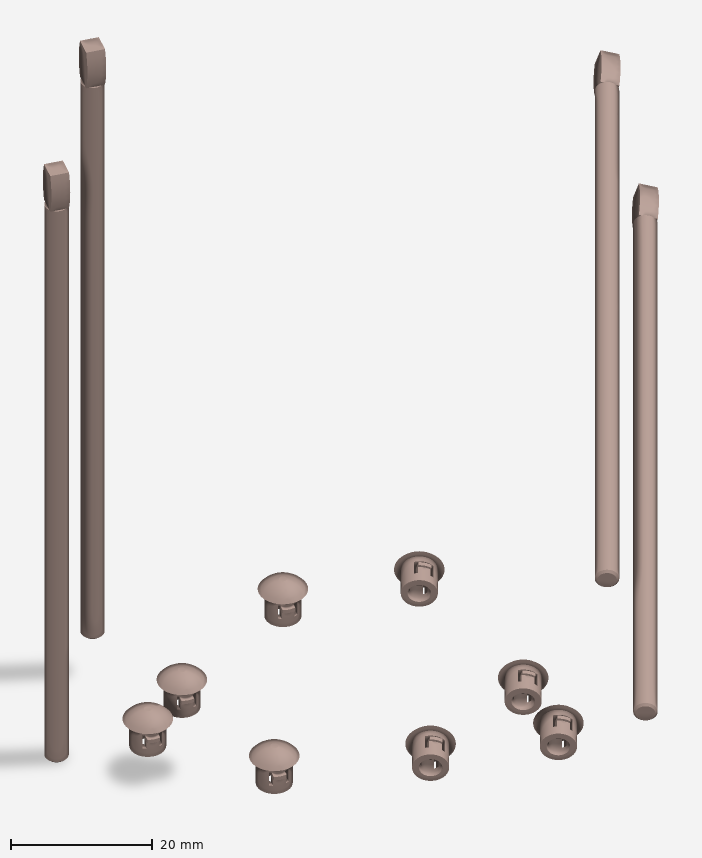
import cadquery as cq

rod_length = 104.9
rod_dia = 3.5
rod_end_chamfer = 0.3
grip_height = 6.3
grip_thickness = 2.8
grip_end_width = 2.9
grip_mid_width = 4.0
shank_length = rod_length - grip_height

sleeve_dia = 5.2
sleeve_bore = 3.3
sleeve_height = 4.8
cap_dia = 7.1
cap_height = 1.8
cap_flat_dia = 1.1
window_width = 2.9
window_bottom = 1.5
window_top = 3.8
slot_width = 0.5
barb_bottom = 2.7
barb_reach = 0.3
tongue_width = window_width - 2 * slot_width
tongue_top = window_top - slot_width

rod_places = [
    (-28.1, -4.9, -49.2),
    (-10.5, -15.8, -55.7),
]
plug_places = [
    (0.7, 14.1, -29.4),
    (21.2, 6.3, -42.2),
    (19.2, -6.7, -27.0),
    (26.4, -14.0, -26.9),
]


def make_grip():
    """Block with flat front and back, and sides that bulge in an arc."""
    end = grip_end_width / 2
    middle = grip_mid_width / 2
    return (
        cq.Workplane("XZ", origin=(0, 0, shank_length))
        .moveTo(-end, 0)
        .lineTo(end, 0)
        .threePointArc((middle, grip_height / 2), (end, grip_height))
        .lineTo(-end, grip_height)
        .threePointArc((-middle, grip_height / 2), (-end, 0))
        .close()
        .extrude(grip_thickness / 2, both=True)
    )


def make_rod():
    shank = cq.Workplane("XY").circle(rod_dia / 2).extrude(shank_length)
    shank = shank.faces("<Z").chamfer(rod_end_chamfer)
    return shank.union(make_grip())


def make_cap():
    """Spherical dome with a small flat at its apex."""
    rim = cap_dia / 2
    flat = cap_flat_dia / 2
    centre = (cap_height**2 + flat**2 - rim**2) / (2 * cap_height)
    sphere_radius = (rim**2 + centre**2) ** 0.5
    mid_radius = (rim + flat) / 2
    mid_height = centre + (sphere_radius**2 - mid_radius**2) ** 0.5
    return (
        cq.Workplane("XZ", origin=(0, 0, sleeve_height))
        .lineTo(rim, 0)
        .threePointArc((mid_radius, mid_height), (flat, cap_height))
        .lineTo(0, cap_height)
        .close()
        .revolve(360, (0, 0), (0, 1))
    )


def side_bar(width, bottom, top):
    """Bar along X, longer than the sleeve is wide."""
    return cq.Workplane("XY", origin=(0, 0, bottom)).rect(cap_dia, width).extrude(top - bottom)


def ring(outer_radius, bottom, top):
    """Ring around the sleeve bore."""
    return (
        cq.Workplane("XY", origin=(0, 0, bottom))
        .circle(outer_radius)
        .circle(sleeve_bore / 2)
        .extrude(top - bottom)
    )


def make_plug():
    sleeve_radius = sleeve_dia / 2
    sleeve = ring(sleeve_radius, 0, sleeve_height)
    windows = side_bar(window_width, window_bottom, window_top)
    tongue_bar = side_bar(tongue_width, window_bottom, tongue_top)
    tongues = ring(sleeve_radius, window_bottom, tongue_top).intersect(tongue_bar)
    barbs = ring(sleeve_radius + barb_reach, barb_bottom, tongue_top).intersect(tongue_bar)
    return sleeve.cut(windows).union(tongues).union(barbs).union(make_cap())


rod = make_rod()
rods = [rod.translate(place) for place in rod_places]

plug = make_plug()
plugs = [plug.translate(place) for place in plug_places]

result = cq.Compound.makeCompound([body.val() for body in rods + plugs])